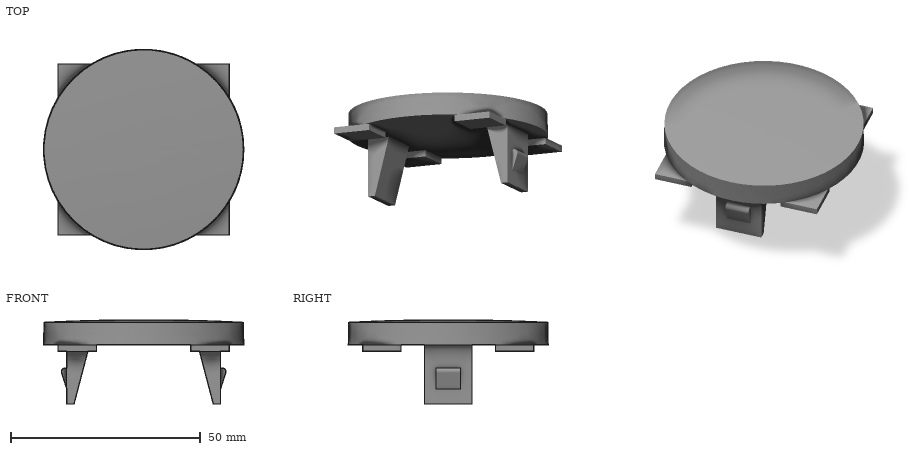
import cadquery as cq

total_height = 22.2
rim_height = 21.55
disc_bottom = 15.6
plate_bottom = 13.9

base_radius = 26.4
rim_radius = 26.25
flat_radius = 2.7

plate_span = 45.2
plate_size = 10.2

leg_outer_x = 20.3
leg_top_thickness = 5.6
leg_foot_thickness = 1.95
leg_width = 12.6

barb_top = 9.5
barb_tip_height = 8.25
barb_bottom = 4.0
barb_projection = 1.4
barb_flat = 0.4
barb_width = 6.45


def make_cap():
    """Revolved cap whose dome runs tangent out of the central flat."""
    return (
        cq.Workplane("XZ")
        .moveTo(0, disc_bottom)
        .lineTo(0, total_height)
        .lineTo(flat_radius, total_height)
        .tangentArcPoint((rim_radius, rim_height), relative=False)
        .lineTo(base_radius, disc_bottom)
        .close()
        .revolve(360, (0, 0, 0), (0, 1, 0))
    )


def make_plates():
    """Four square plates under the cap, protruding at the corners."""
    spacing = plate_span - plate_size
    return (
        cq.Workplane("XY")
        .workplane(offset=plate_bottom)
        .rarray(spacing, spacing, 2, 2)
        .rect(plate_size, plate_size)
        .extrude(disc_bottom - plate_bottom)
    )


def make_clip():
    """Tapered leg with a snap barb, on the +X side."""
    slope = (leg_top_thickness - leg_foot_thickness) / plate_bottom
    root_thickness = leg_foot_thickness + slope * disc_bottom
    leg = (
        cq.Workplane("XZ")
        .moveTo(leg_outer_x, 0)
        .lineTo(leg_outer_x, disc_bottom)
        .lineTo(leg_outer_x - root_thickness, disc_bottom)
        .lineTo(leg_outer_x - leg_foot_thickness, 0)
        .close()
        .extrude(leg_width / 2, both=True)
    )
    barb = (
        cq.Workplane("XZ")
        .moveTo(leg_outer_x, barb_bottom)
        .lineTo(leg_outer_x, barb_top)
        .lineTo(leg_outer_x + barb_flat, barb_top)
        .tangentArcPoint((leg_outer_x + barb_projection, barb_tip_height), relative=False)
        .close()
        .extrude(barb_width / 2, both=True)
    )
    return leg.union(barb)


clip = make_clip()
result = make_cap().union(make_plates()).union(clip).union(clip.mirror("YZ"))